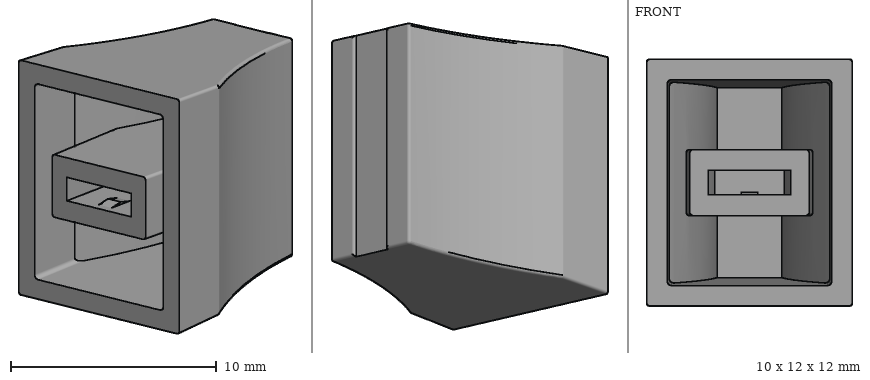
import cadquery as cq
import math

WIDTH = 10.0
DEPTH = 12.0
HEIGHT = 12.0
BACK_WIDTH = 5.0
WAIST_Y = 3.25
CONCAVE_RADIUS = 22.0
DRAFT_ANGLE = 2.0
DRAFT = math.tan(math.radians(DRAFT_ANGLE))
EDGE_RADIUS = 0.15
WAIST_STEPS = 20

WALL = 1.0
CAVITY_CORNER_RADIUS = 0.22

GROOVE_WIDTH = 2.0
GROOVE_DEPTH = 0.15

STEM_WIDTH = 5.8
STEM_HEIGHT = 3.2

SLOT_WIDTH = 4.0
SLOT_HEIGHT = 1.2
SLOT_DEPTH = 10.0

BUMP_WIDTH = 0.8
BUMP_START_Y = 0.5
BUMP_LENGTH = 1.4
BUMP_RISE = 0.125


def concave_arc_centre():
    """Centre of the concave arc on the +X side."""
    x1, y1 = WIDTH / 2 - WAIST_Y * DRAFT, WAIST_Y
    x2, y2 = BACK_WIDTH / 2, DEPTH
    chord = math.hypot(x2 - x1, y2 - y1)
    rise = math.sqrt(CONCAVE_RADIUS**2 - (chord / 2) ** 2)
    return (
        (x1 + x2) / 2 + rise * (y2 - y1) / chord,
        (y1 + y2) / 2 + rise * (x1 - x2) / chord,
    )


def tapered_shape(offset):
    """Body shape from y = 0 to the back, with every wall moved inwards by offset."""
    half_width = WIDTH / 2 - offset
    half_height = HEIGHT / 2 - offset
    back_y = DEPTH - offset
    radius = CONCAVE_RADIUS + offset
    centre_x, centre_y = concave_arc_centre()

    def arc_point(y):
        return (centre_x - math.sqrt(radius**2 - (y - centre_y) ** 2), y)

    def mirrored(point):
        return (-point[0], point[1])

    waist_y = WAIST_Y
    for _ in range(WAIST_STEPS):
        side_x = half_width - waist_y * DRAFT
        waist_y = centre_y - math.sqrt(radius**2 - (centre_x - side_x) ** 2)
    waist = arc_point(waist_y)
    middle = arc_point((waist_y + back_y) / 2)
    back = arc_point(back_y)
    plan = (
        cq.Workplane("XY")
        .moveTo(-half_width, 0)
        .lineTo(half_width, 0)
        .lineTo(*waist)
        .threePointArc(middle, back)
        .lineTo(*mirrored(back))
        .threePointArc(mirrored(middle), mirrored(waist))
        .close()
        .extrude(half_height, both=True)
    )
    back_half_height = half_height - back_y * DRAFT
    side = (
        cq.Workplane("YZ")
        .polyline([
            (0, -half_height),
            (back_y, -back_half_height),
            (back_y, back_half_height),
            (0, half_height),
        ])
        .close()
        .extrude(half_width, both=True)
    )
    return plan.intersect(side)


def make_groove():
    """Cutter for the groove, flaring out in quarter arcs that round the rims over its full depth."""
    half_floor = GROOVE_WIDTH / 2
    half_mouth = half_floor + GROOVE_DEPTH
    floor_y = DEPTH - GROOVE_DEPTH
    on_arc_x = half_mouth - GROOVE_DEPTH * math.sqrt(0.5)
    on_arc_y = floor_y + GROOVE_DEPTH * math.sqrt(0.5)
    return (
        cq.Workplane("XY")
        .moveTo(-half_floor, floor_y)
        .lineTo(half_floor, floor_y)
        .threePointArc((on_arc_x, on_arc_y), (half_mouth, DEPTH))
        .lineTo(-half_mouth, DEPTH)
        .threePointArc((-on_arc_x, on_arc_y), (-half_floor, floor_y))
        .close()
        .extrude(HEIGHT / 2, both=True)
    )


def make_body():
    """Solid body, rounded everywhere but around the open face, with the groove up its back."""
    behind_open_face = cq.selectors.BoxSelector(
        (-WIDTH, EDGE_RADIUS, -HEIGHT),
        (WIDTH, 2 * DEPTH, HEIGHT),
    )
    return tapered_shape(0).edges(behind_open_face).fillet(EDGE_RADIUS).cut(make_groove())


def make_cavity():
    """Hollow that leaves an even wall; its corners are rounded only between the straight sides."""
    straight_sided = (
        cq.Workplane("XZ")
        .rect(WIDTH - 2 * WALL, HEIGHT - 2 * WALL)
        .extrude(-DEPTH, taper=DRAFT_ANGLE)
        .edges("not (|X or |Z)")
        .fillet(CAVITY_CORNER_RADIUS)
    )
    return tapered_shape(WALL).intersect(straight_sided)


def make_stem():
    """Block across the cavity, its sides spreading with the draft until they meet the walls."""
    half_front = STEM_WIDTH / 2
    reach = DEPTH - WALL
    half_back = half_front + reach * DRAFT
    return (
        cq.Workplane("XY")
        .polyline([(-half_front, 0), (half_front, 0), (half_back, reach), (-half_back, reach)])
        .close()
        .extrude(STEM_HEIGHT / 2, both=True)
        .edges("(not |X) and (not |Z)")
        .fillet(EDGE_RADIUS)
    )


def make_slot():
    """Slot in the stem, bounded at its inner end by the cavity walls."""
    return (
        cq.Workplane("XZ")
        .rect(SLOT_WIDTH, SLOT_HEIGHT)
        .extrude(-SLOT_DEPTH)
        .intersect(tapered_shape(WALL))
    )


def make_bump():
    """Low roof-shaped bump on the slot's lower wall, just inside its mouth."""
    floor_z = -SLOT_HEIGHT / 2
    end_y = BUMP_START_Y + BUMP_LENGTH
    crest = (BUMP_START_Y + BUMP_LENGTH / 2, floor_z + BUMP_RISE)
    return (
        cq.Workplane("YZ")
        .moveTo(BUMP_START_Y, floor_z)
        .lineTo(*crest)
        .lineTo(end_y, floor_z)
        .close()
        .extrude(BUMP_WIDTH / 2, both=True)
    )


cavity = make_cavity()
stem = make_stem().intersect(cavity)
hollow = cavity.cut(stem).union(make_slot())
result = make_body().cut(hollow).union(make_bump())